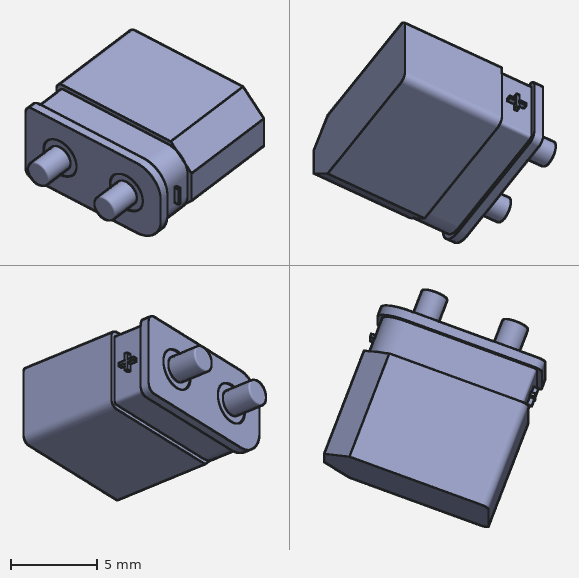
import cadquery as cq


total_length = 11.4
housing_width = 10.2
housing_height = 5.2
pin_length = 2.01
flange_thickness = 0.6
waist_length = 2.2
waist_inset = 0.3

small_radius = 0.5
large_radius = 1.8
shell_chamfer = 1.57

pin_spacing = 5.0
pin_diameter = 1.6
shoulder_diameter = 2.5
shoulder_depth = flange_thickness
pin_rounding = 0.1

mark_length = 1.13
mark_stroke = 0.19

body_length = total_length - pin_length
shell_start = flange_thickness + waist_length
shell_length = body_length - shell_start
mark_y = flange_thickness + waist_length / 2
waist_half_width = housing_width / 2 - waist_inset
pin_positions = [-pin_spacing / 2, pin_spacing / 2]


def box_along_y(start, length, inset=0.0):
    """Block centred in X and Z, starting at Y = start and shrunk all round by inset."""
    return cq.Workplane("XY").box(
        housing_width - 2 * inset, length, housing_height - 2 * inset
    ).translate((0, start + length / 2, 0))


def d_profile_block(start, length, inset=0.0):
    """Block with small rounds on the -X side and large rounds on the +X side."""
    block = box_along_y(start, length, inset)
    block = block.faces("<X").edges("|Y").fillet(small_radius - inset)
    return block.faces(">X").edges("|Y").fillet(large_radius - inset)


def make_shell():
    """Rear shell, rounded on the -X side and chamfered on the +X side."""
    shell = box_along_y(shell_start, shell_length)
    shell = shell.faces("<X").edges("|Y").fillet(small_radius)
    return shell.faces(">X").edges("|Y").chamfer(shell_chamfer)


def make_mark_bar(side, length_y, length_z):
    """Raised bar on the waist; side is -1 for the -X wall and +1 for the +X wall."""
    bar = cq.Workplane("XY").box(2 * waist_inset, length_y, length_z)
    return bar.translate((side * waist_half_width, mark_y, 0))


def make_housing():
    """Flange, waist and shell in one piece, with raised polarity marks and pin seats."""
    housing = d_profile_block(0, flange_thickness)
    housing = housing.union(d_profile_block(flange_thickness, waist_length, waist_inset))
    housing = housing.union(make_shell())

    housing = housing.union(make_mark_bar(-1, mark_length, mark_stroke))
    housing = housing.union(make_mark_bar(-1, mark_stroke, mark_length))
    housing = housing.union(make_mark_bar(1, mark_stroke, mark_length))

    for x in pin_positions:
        seat = cq.Workplane("XZ", origin=(x, 0, 0)).circle(shoulder_diameter / 2).extrude(-shoulder_depth)
        housing = housing.cut(seat)
    return housing


def make_pin(x):
    """Contact pin with a shoulder flush with the solder face; rim and tip are rounded."""
    face = cq.Workplane("XZ", origin=(x, 0, 0))
    shoulder = face.circle(shoulder_diameter / 2).extrude(-shoulder_depth)
    shoulder = shoulder.faces("<Y").edges().fillet(pin_rounding)
    shaft = face.circle(pin_diameter / 2).extrude(pin_length)
    shaft = shaft.faces("<Y").edges().fillet(pin_rounding)
    return shoulder.union(shaft)


housing = make_housing()
pins = [make_pin(x) for x in pin_positions]

result = cq.Compound.makeCompound([housing.val(), *[pin.val() for pin in pins]])